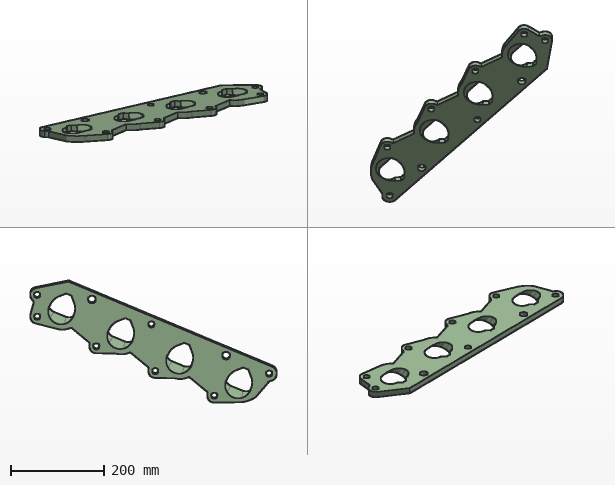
import cadquery as cq
import math

length = 556.5
thickness = 14.0
port_count = 4
pitch = 137.5
notch_count = port_count - 1
lug_radius = 15.0
end_radius = 16.5
chamfer_start = 491.0

end_lug = (end_radius, end_radius)
top_lug = (53.5, length - lug_radius)
corner_lug = (97.5, 523.0)
ear_x = 122.5 - lug_radius
ear_top_y = 381.0
ears = [(ear_x, ear_top_y - i * pitch) for i in range(notch_count)]
bolt_diameter = 13.5
middle_hole = (end_radius, 291.0)
large_holes = [(end_radius, 430.0), (end_radius, 117.0)]
large_diameter = 16.5

bulge_start = (105.0, 92.0)
bulge_middle = (102.0, 80.0)
notch = (91.0, 65.5)

port_x = 55.0
port_top_y = 480.0
slot_width = 41.0
slot_length = 68.0
mouth_left = 26.0
mouth_flat = 5.5
mouth_shoulder = (35.5, 15.0)
mouth_curve = (48.5, 24.5)
mouth_crest = (62.5, 27.0)
mouth_right = 94.5


def on_circle(center, radius, degrees):
    angle = math.radians(degrees)
    return (center[0] + radius * math.cos(angle), center[1] + radius * math.sin(angle))


def lug_arc(outline, center, radius, start, end):
    """Draw a line to a lug, then follow its rounding between two angles."""
    outline = outline.lineTo(*on_circle(center, radius, start))
    middle = on_circle(center, radius, (start + end) / 2)
    return outline.threePointArc(middle, on_circle(center, radius, end))


def make_plate():
    outline = cq.Workplane("XY").moveTo(0, end_lug[1]).lineTo(0, chamfer_start)
    outline = lug_arc(outline, top_lug, lug_radius, 145, 25)
    outline = outline.lineTo(70.5, 541.5)
    outline = lug_arc(outline, corner_lug, lug_radius, 83, -8)
    for ear in ears:
        start, middle, end = [(x, ear[1] + y) for x, y in (bulge_start, bulge_middle, notch)]
        outline = outline.lineTo(*start).threePointArc(middle, end)
        outline = outline.lineTo(ear_x - 1.5, ear[1] + lug_radius + 1.5)
        outline = lug_arc(outline, ear, lug_radius, 80, -25)
    outline = outline.lineTo(101.5, 54.5).threePointArc((92.0, 38.0), (75.0, 23.0))
    outline = outline.lineTo(32.0, 9.5)
    outline = lug_arc(outline, end_lug, end_radius, -55, -180)
    return outline.close().extrude(thickness)


def draw_mouth(plane):
    """Outline symmetric about the local X axis, with its tip to the left."""
    mirrored = [(x, -y) for x, y in (mouth_shoulder, mouth_curve, mouth_crest)]
    return (
        plane.moveTo(mouth_left, -mouth_flat)
        .lineTo(mouth_left, mouth_flat)
        .lineTo(*mouth_shoulder)
        .threePointArc(mouth_curve, mouth_crest)
        .threePointArc((mouth_right, 0), mirrored[2])
        .threePointArc(mirrored[1], mirrored[0])
        .close()
    )


def make_port():
    mouth = draw_mouth(cq.Workplane("XY"))
    passage = (
        mouth.workplane(offset=thickness)
        .center(port_x, 0)
        .slot2D(slot_length, slot_width, 90)
        .loft(ruled=True)
    )
    left_part = cq.Workplane("XY").box(port_x, slot_length, thickness, centered=(False, True, False))
    tip = draw_mouth(cq.Workplane("XY")).extrude(thickness).intersect(left_part)
    return passage.union(tip)


def make_holes(centers, diameter):
    return cq.Workplane("XY").pushPoints(centers).circle(diameter / 2).extrude(thickness)


result = make_plate()
port = make_port()
for index in range(port_count):
    result = result.cut(port.translate((0, port_top_y - index * pitch, 0)))
result = result.cut(make_holes([end_lug, top_lug, corner_lug, middle_hole] + ears, bolt_diameter))
result = result.cut(make_holes(large_holes, large_diameter))